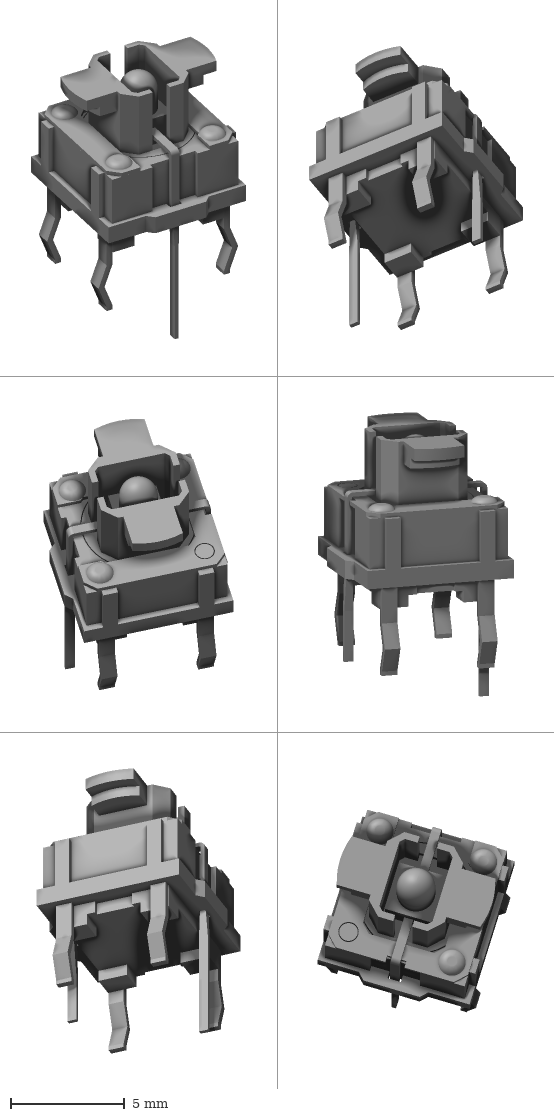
import cadquery as cq
import math


OVERALL_X = 7.4
OVERALL_Y = 7.1
OVERALL_Z = 12.2

FLANGE_TOP = 0.83
BOX_TOP = 3.11
PLATE_THICK = 0.2
PLATE_TOP = BOX_TOP + PLATE_THICK
BUTTON_TOP = 6.12

FLANGE_X = 3.39
FLANGE_Y = 3.49
EAR_X = OVERALL_X / 2
EAR_ROOT_Y = 1.6
EAR_TIP_Y = EAR_ROOT_Y - (EAR_X - FLANGE_X)
BOX_HALF = 3.21
RIB_INNER_X = 1.85
RIB_OUTER_X = 2.53
SIDE_RECESS_X = 2.98
SIDE_RECESS_HALF_Y = 1.15
LEAD_SLOT_OUTER_X = 3.3
LEAD_SLOT_HALF_Y = 0.3

LUG_WIDTH = 0.28
LUG_BOTTOM = 1.79
LUG_TOP = 3.0

COLLAR_DIA = 5
COLLAR_THICK = 0.37
BORE_DIA = 5.1
BORE_FLOOR = BOX_TOP - COLLAR_THICK

BLOCK_X = 2.64
BLOCK_Y = 2.83
BLOCK_DEPTH = 0.56
FOOT_DEPTH = 1.09
FOOT_INNER_X = 1.28
FOOT_INNER_Y = 1.75
BLOCK_NOTCH_HALF_X = 0.88
BLOCK_NOTCH_DEPTH = 0.2

LEG_INNER_X = 1.89
LEG_OUTER_X = 2.61
LEG_OUTER_Y = 3.14
LEG_THICK = LEG_OUTER_Y - BLOCK_Y
LEG_BULGE = OVERALL_Y / 2 - LEG_OUTER_Y
LEG_BEND_Z = -1.68
LEG_BULGE_Z = -2.77
LEG_RETURN_Z = 2 * LEG_BULGE_Z - LEG_BEND_Z
LEG_END_Z = -4.05

PEG_POSITION = 2.38
PEG_DIA = 0.8
PEG_HOLE_DIA = 0.9
HEAD_DIA = 1.2
HEAD_FLAT_DIA = 0.44
HEAD_HEIGHT = 0.22

PLATE_CHAMFER = 0.5
WINDOW_LEFT_X = -2.2
WINDOW_Y = 1.89
WINDOW_CHAMFER = 0.39
ARM_INNER_Y = 1.76
ARM_STEP_X = 2.16
LEAD_GAP_HALF_Y = 0.44
PLATE_NOTCH_X = 2.9

BUTTON_X = 2.0
BUTTON_Y = 1.75
BUTTON_CHAMFER = 0.61
CAVITY_X = 1.71
CAVITY_Y = 1.22
CAVITY_CHAMFER = 0.2
WING_HALF_X = 1.15
WING_RADIUS = FLANGE_Y
WING_UNDERSIDE = 5.59
STEP_RADIUS = 2.87
STEP_UNDERSIDE = 5.11

LAMP_HALF = 1.1
LAMP_TOP = 4.1
LENS_RADIUS = 0.85
LENS_CENTER_Z = 5.1

LEAD_TOP = 3.61
LEAD_THICK = 0.2
LEAD_WIDTH = 0.41
LEAD_X = 3.14
LEAD_OUTER_X = LEAD_X + LEAD_THICK / 2
LEAD_BEND_RADIUS = 0.25
PIN_WIDTH = 0.43
SHORT_TAPER_END = -1.76
SHORT_PIN_END = LEG_END_Z
LONG_TAPER_END = -1.27
LONG_PIN_END = BUTTON_TOP - OVERALL_Z

SIDES = (-1, 1)
CORNERS = [(sx, sy) for sx in SIDES for sy in SIDES]
BARE_PEG = (-1, 1)


def block(x0, x1, y0, y1, z0, z1):
    """Box spanning the given coordinates, in either order."""
    return (
        cq.Workplane("XY")
        .box(abs(x1 - x0), abs(y1 - y0), abs(z1 - z0))
        .translate(((x0 + x1) / 2, (y0 + y1) / 2, (z0 + z1) / 2))
    )


def centered_block(half_x, half_y, z0, z1):
    return block(-half_x, half_x, -half_y, half_y, z0, z1)


def chamfered_block(half_x, half_y, z0, z1, chamfer):
    return centered_block(half_x, half_y, z0, z1).edges("|Z").chamfer(chamfer)


def disc(diameter, z0, z1):
    return cq.Workplane("XY").workplane(offset=z0).circle(diameter / 2).extrude(z1 - z0)


def make_flange():
    flange = centered_block(FLANGE_X, FLANGE_Y, 0, FLANGE_TOP)
    for side in SIDES:
        ear = (
            cq.Workplane("XY")
            .polyline([
                (0, -EAR_ROOT_Y),
                (side * FLANGE_X, -EAR_ROOT_Y),
                (side * EAR_X, -EAR_TIP_Y),
                (side * EAR_X, EAR_TIP_Y),
                (side * FLANGE_X, EAR_ROOT_Y),
                (0, EAR_ROOT_Y),
            ])
            .close()
            .extrude(FLANGE_TOP)
        )
        flange = flange.union(ear)
    return flange


def make_underside():
    body = centered_block(BLOCK_X, BLOCK_Y, -BLOCK_DEPTH, 0)
    for sx, sy in CORNERS:
        foot = block(sx * FOOT_INNER_X, sx * BLOCK_X, sy * FOOT_INNER_Y, sy * BLOCK_Y, -FOOT_DEPTH, 0)
        body = body.union(foot)
    for side in SIDES:
        notch = block(
            -BLOCK_NOTCH_HALF_X, BLOCK_NOTCH_HALF_X,
            side * (BLOCK_Y - BLOCK_NOTCH_DEPTH), side * BLOCK_Y,
            -BLOCK_DEPTH, 0,
        )
        body = body.cut(notch)
    return body


def make_leg(sx, sy):
    """Spring leg that bulges outward below the flange."""
    outer = [
        (LEG_OUTER_Y, 0),
        (LEG_OUTER_Y, LEG_BEND_Z),
        (LEG_OUTER_Y + LEG_BULGE, LEG_BULGE_Z),
        (LEG_OUTER_Y, LEG_RETURN_Z),
        (LEG_OUTER_Y, LEG_END_Z),
    ]
    inner = [(y - LEG_THICK, z) for y, z in reversed(outer)]
    outline = [(sy * y, z) for y, z in outer + inner]
    start_x = min(sx * LEG_INNER_X, sx * LEG_OUTER_X)
    return (
        cq.Workplane("YZ")
        .workplane(offset=start_x)
        .polyline(outline)
        .close()
        .extrude(LEG_OUTER_X - LEG_INNER_X)
    )


def make_peg_head():
    """Rivet head, flat on top and rounded down to its rim, based at Z = 0 on the peg axis."""
    flat_radius = HEAD_FLAT_DIA / 2
    round_width = HEAD_DIA / 2 - flat_radius
    round_radius = (round_width**2 + HEAD_HEIGHT**2) / (2 * HEAD_HEIGHT)
    half_sweep = math.asin(round_width / round_radius) / 2
    arc_middle = (
        flat_radius + round_radius * math.sin(half_sweep),
        HEAD_HEIGHT - round_radius * (1 - math.cos(half_sweep)),
    )
    return (
        cq.Workplane("XZ")
        .lineTo(HEAD_DIA / 2, 0)
        .threePointArc(arc_middle, (flat_radius, HEAD_HEIGHT))
        .lineTo(0, HEAD_HEIGHT)
        .close()
        .revolve(360, (0, 0), (0, 1))
    )


def make_housing():
    housing = make_flange()
    housing = housing.union(centered_block(BOX_HALF, BOX_HALF, 0, BOX_TOP))
    housing = housing.union(make_underside())
    for sx, sy in CORNERS:
        rib = block(sx * RIB_INNER_X, sx * RIB_OUTER_X, 0, sy * FLANGE_Y, 0, BOX_TOP)
        housing = housing.union(rib).union(make_leg(sx, sy))
    for side in SIDES:
        recess = block(
            side * SIDE_RECESS_X, side * EAR_X,
            -SIDE_RECESS_HALF_Y, SIDE_RECESS_HALF_Y,
            FLANGE_TOP, BOX_TOP,
        )
        slot = block(
            side * SIDE_RECESS_X, side * LEAD_SLOT_OUTER_X,
            -LEAD_SLOT_HALF_Y, LEAD_SLOT_HALF_Y,
            0, FLANGE_TOP,
        )
        lug = block(
            side * SIDE_RECESS_X, side * LEAD_OUTER_X,
            -LUG_WIDTH / 2, LUG_WIDTH / 2,
            LUG_BOTTOM, LUG_TOP,
        )
        housing = housing.cut(recess).cut(slot).union(lug)
    housing = housing.cut(disc(BORE_DIA, BORE_FLOOR, BOX_TOP))
    for sx, sy in CORNERS:
        place = (sx * PEG_POSITION, sy * PEG_POSITION, 0)
        housing = housing.union(disc(PEG_DIA, BOX_TOP - PLATE_THICK, PLATE_TOP).translate(place))
        if (sx, sy) != BARE_PEG:
            head = make_peg_head().translate((0, 0, PLATE_TOP)).translate(place)
            housing = housing.union(head)
    return housing


def make_plate():
    """C-shaped cover plate, open toward +X."""
    plate = chamfered_block(BOX_HALF, BOX_HALF, BOX_TOP, PLATE_TOP, PLATE_CHAMFER)
    step = WINDOW_Y - ARM_INNER_Y
    upper_edge = [
        (WINDOW_LEFT_X, WINDOW_Y - WINDOW_CHAMFER),
        (WINDOW_LEFT_X + WINDOW_CHAMFER, WINDOW_Y),
        (ARM_STEP_X - step, WINDOW_Y),
        (ARM_STEP_X, ARM_INNER_Y),
        (BOX_HALF, ARM_INNER_Y),
    ]
    lower_edge = [(x, -y) for x, y in reversed(upper_edge)]
    window = (
        cq.Workplane("XY")
        .workplane(offset=BOX_TOP)
        .polyline(upper_edge + lower_edge)
        .close()
        .extrude(PLATE_THICK)
    )
    lead_notch = block(
        -BOX_HALF, -PLATE_NOTCH_X, -LEAD_GAP_HALF_Y, LEAD_GAP_HALF_Y, BOX_TOP, PLATE_TOP
    )
    plate = plate.cut(window).cut(lead_notch)
    for sx, sy in CORNERS:
        hole = disc(PEG_HOLE_DIA, BOX_TOP, PLATE_TOP)
        plate = plate.cut(hole.translate((sx * PEG_POSITION, sy * PEG_POSITION, 0)))
    return plate


def make_wing_tier(radius, underside):
    """Round-ended bar across the button, reaching out to both sides in Y."""
    bar = centered_block(WING_HALF_X, radius, underside, BUTTON_TOP)
    return bar.intersect(disc(2 * radius, underside, BUTTON_TOP))


def make_button():
    button = chamfered_block(BUTTON_X, BUTTON_Y, BOX_TOP, BUTTON_TOP, BUTTON_CHAMFER)
    button = button.union(make_wing_tier(WING_RADIUS, WING_UNDERSIDE))
    button = button.union(make_wing_tier(STEP_RADIUS, STEP_UNDERSIDE))
    button = button.union(disc(COLLAR_DIA, BORE_FLOOR, BOX_TOP))
    button = button.cut(chamfered_block(CAVITY_X, CAVITY_Y, BORE_FLOOR, BUTTON_TOP, CAVITY_CHAMFER))
    return button.cut(centered_block(BUTTON_X, LEAD_GAP_HALF_Y, BORE_FLOOR, BUTTON_TOP))


def make_lamp():
    lamp = centered_block(LAMP_HALF, LAMP_HALF, BORE_FLOOR, LAMP_TOP)
    lens = disc(2 * LENS_RADIUS, LAMP_TOP, LENS_CENTER_Z)
    dome = cq.Workplane("XY").sphere(LENS_RADIUS).translate((0, 0, LENS_CENTER_Z))
    return lamp.union(lens).union(dome)


def make_lead(side, taper_end, pin_end):
    """Strip from the lamp over the box edge, then down through the flange as a pin."""
    bridge = block(LAMP_HALF, LEAD_OUTER_X, -LEAD_WIDTH / 2, LEAD_WIDTH / 2, FLANGE_TOP, LEAD_TOP)
    bridge = bridge.edges("|Y and >X and >Z").fillet(LEAD_BEND_RADIUS)
    inside = block(
        LAMP_HALF, LEAD_OUTER_X - LEAD_THICK,
        -LEAD_WIDTH / 2, LEAD_WIDTH / 2,
        FLANGE_TOP, LEAD_TOP - LEAD_THICK,
    )
    inside = inside.edges("|Y and >X and >Z").fillet(LEAD_BEND_RADIUS - LEAD_THICK)
    strip = bridge.cut(inside)
    eye = block(LAMP_HALF, LEAD_OUTER_X, -LUG_WIDTH / 2, LUG_WIDTH / 2, LUG_BOTTOM, LUG_TOP)
    strip = strip.cut(eye)
    taper = (
        cq.Workplane("XY")
        .workplane(offset=FLANGE_TOP)
        .center(LEAD_X, 0)
        .rect(LEAD_THICK, LEAD_WIDTH)
        .workplane(offset=taper_end - FLANGE_TOP)
        .rect(PIN_WIDTH, LEAD_THICK)
        .loft(ruled=True)
    )
    pin = block(
        LEAD_X - PIN_WIDTH / 2, LEAD_X + PIN_WIDTH / 2,
        -LEAD_THICK / 2, LEAD_THICK / 2,
        pin_end, taper_end,
    )
    lead = strip.union(taper).union(pin)
    return lead if side > 0 else lead.mirror("YZ")


housing = make_housing()
plate = make_plate()
button = make_button()
lamp = make_lamp()
leads = [
    make_lead(-1, SHORT_TAPER_END, SHORT_PIN_END),
    make_lead(1, LONG_TAPER_END, LONG_PIN_END),
]

result = cq.Compound.makeCompound(
    [housing.val(), plate.val(), button.val(), lamp.val(), *[lead.val() for lead in leads]]
)